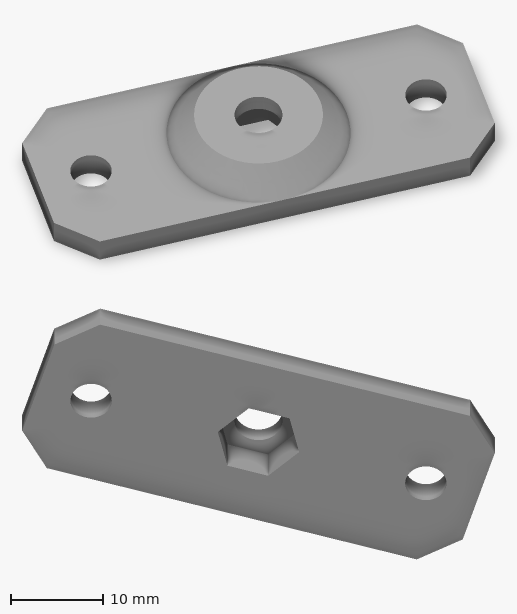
import cadquery as cq
import math

plate_width = 20
plate_length = 50
plate_thickness = 3
corner_chamfer = 4

boss_height = 3
boss_top_diameter = 14

center_hole_diameter = 5.2
mount_hole_diameter = 4.5
mount_hole_spacing = 38

nut_across_flats = 8
nut_pocket_depth = 4
hexagon_turn = 30

plate = (
    cq.Workplane("XY")
    .rect(plate_width, plate_length)
    .extrude(plate_thickness)
    .edges("|Z")
    .chamfer(corner_chamfer)
)

boss = cq.Workplane(
    cq.Solid.makeCone(
        plate_width / 2,
        boss_top_diameter / 2,
        boss_height,
        pnt=cq.Vector(0, 0, plate_thickness),
    )
)

total_height = plate_thickness + boss_height
center_hole = cq.Workplane("XY").circle(center_hole_diameter / 2).extrude(total_height)
mount_holes = (
    cq.Workplane("XY")
    .pushPoints([(0, -mount_hole_spacing / 2), (0, mount_hole_spacing / 2)])
    .circle(mount_hole_diameter / 2)
    .extrude(plate_thickness)
)

nut_across_corners = nut_across_flats / math.cos(math.pi / 6)
nut_pocket = (
    cq.Workplane("XY")
    .polygon(6, nut_across_corners)
    .extrude(nut_pocket_depth)
    .rotate((0, 0, 0), (0, 0, 1), hexagon_turn)
)

result = plate.union(boss).cut(center_hole).cut(mount_holes).cut(nut_pocket)